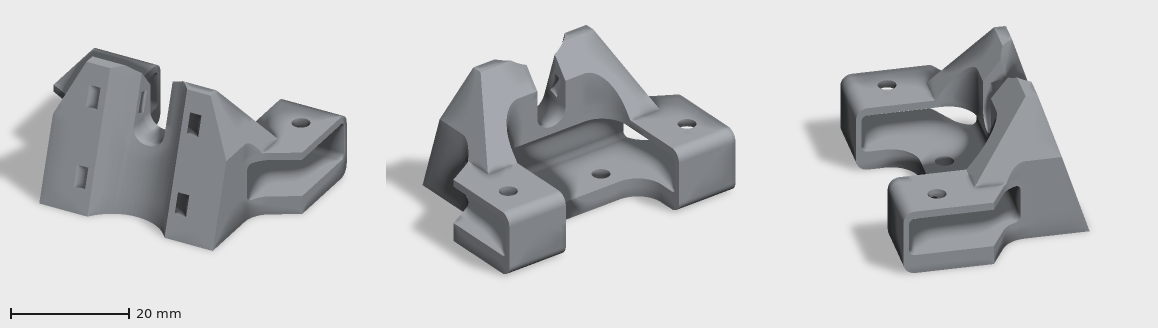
import cadquery as cq
import math

width = 48.0
depth = 34.0
height = 25.0
half_width = width / 2

body_half_width = 16.75
ear_inner_x = 12.0
ear_corner_y = 18.3
ear_taper_angle = math.radians(30)
plate_back_y = 24.0
corner_radius = 5.0

ear_height = 12.0
ear_edge_radius = 2.0
crest_front_y = 7.95
crest_back_y = 10.05
slope_foot_y = 20.35

crest_half_width = 12.0
shoulder_half_width = 18.25

window_front_y = 12.0
window_back_y = 33.0
floor_height = 3.5
window_top = 10.6
window_radius = 1.0
pocket_front_y = 14.0

groove_radius = 9.2
groove_half_width = 7.45
groove_axis_offset = math.sqrt(groove_radius**2 - groove_half_width**2)
face_tilt = math.degrees(math.atan2(crest_front_y, height))

slot_half_width = 3.0
slot_bottom_radius = 2.8

channel_inner_radius = 10.2
channel_outer_radius = 12.15
channel_width = 4.0
channel_starts = (4.35, 18.5)

hole_diameter = 3.2
plate_hole_x = 6.0
plate_hole_y = 20.0
ear_hole_x = 18.95
ear_hole_y = 27.0


def block(x_range, y_range, z_range):
    """Box given by its limits along each axis."""
    size = [high - low for low, high in (x_range, y_range, z_range)]
    corner = (x_range[0], y_range[0], z_range[0])
    return cq.Workplane("XY").box(*size, centered=False).translate(corner)


def make_footprint():
    """Plan outline with two ears, extruded to full height."""
    taper_end_y = ear_corner_y - (half_width - body_half_width) * math.tan(ear_taper_angle)
    right_side = [
        (body_half_width, 0),
        (body_half_width, taper_end_y),
        (half_width, ear_corner_y),
        (half_width, depth),
        (ear_inner_x, depth),
        (ear_inner_x, plate_back_y),
    ]
    left_side = [(-x, y) for x, y in reversed(right_side)]
    footprint = cq.Workplane("XY").polyline(right_side + left_side).close().extrude(height)
    rounded_corners = [(body_half_width, taper_end_y), (ear_inner_x, plate_back_y)]
    for x, y in rounded_corners:
        for side in (-1, 1):
            edge = cq.selectors.NearestToPointSelector((side * x, y, height / 2))
            footprint = footprint.edges("|Z").edges(edge).fillet(corner_radius)
    return footprint


def make_side_profile():
    """Side outline: sloping front, narrow crest, low ears."""
    profile = (
        cq.Workplane("YZ")
        .polyline([
            (0, 0),
            (crest_front_y, height),
            (crest_back_y, height),
            (slope_foot_y, ear_height),
            (depth, ear_height),
            (depth, 0),
        ])
        .close()
        .extrude(half_width, both=True)
    )
    return profile.edges("|X and >Y").fillet(ear_edge_radius)


def make_front_profile():
    """Front outline: a trapezoid standing on the full-width ears."""
    right_side = [
        (half_width, 0),
        (half_width, ear_height),
        (shoulder_half_width, ear_height),
        (crest_half_width, height),
    ]
    left_side = [(-x, z) for x, z in reversed(right_side)]
    return cq.Workplane("XZ").polyline(right_side + left_side).close().extrude(-depth)


def make_window():
    window = block((-half_width, half_width), (window_front_y, window_back_y), (floor_height, window_top))
    return window.edges("|X").fillet(window_radius)


def make_pocket():
    pocket = block((-ear_inner_x, ear_inner_x), (pocket_front_y, depth), (floor_height, height))
    return pocket.edges("|Z and <Y").fillet(corner_radius)


def make_slot():
    slot = block((-slot_half_width, slot_half_width), (0, pocket_front_y), (ear_height, height))
    return slot.edges("|Y and <Z").fillet(slot_bottom_radius)


def lean_back(shape):
    """Tilt an upright shape so that it follows the sloping front face."""
    return shape.rotate((0, 0, 0), (1, 0, 0), -face_tilt)


def make_groove():
    groove = (
        cq.Workplane("XY", origin=(0, -groove_axis_offset, -height))
        .circle(groove_radius)
        .extrude(3 * height)
    )
    return lean_back(groove)


def make_channel(start):
    channel = (
        cq.Workplane("XY", origin=(0, -groove_axis_offset, start))
        .circle(channel_outer_radius)
        .circle(channel_inner_radius)
        .extrude(channel_width)
    )
    return lean_back(channel)


def make_hole_pair(x, y, bottom, top):
    return (
        cq.Workplane("XY", origin=(0, 0, bottom))
        .pushPoints([(-x, y), (x, y)])
        .circle(hole_diameter / 2)
        .extrude(top - bottom)
    )


result = make_footprint().intersect(make_side_profile()).intersect(make_front_profile())
result = result.cut(make_window()).cut(make_pocket()).cut(make_slot()).cut(make_groove())
for channel_start in channel_starts:
    result = result.cut(make_channel(channel_start))

mid_window = (floor_height + window_top) / 2
result = result.cut(make_hole_pair(plate_hole_x, plate_hole_y, 0, mid_window))
result = result.cut(make_hole_pair(ear_hole_x, ear_hole_y, mid_window, ear_height))